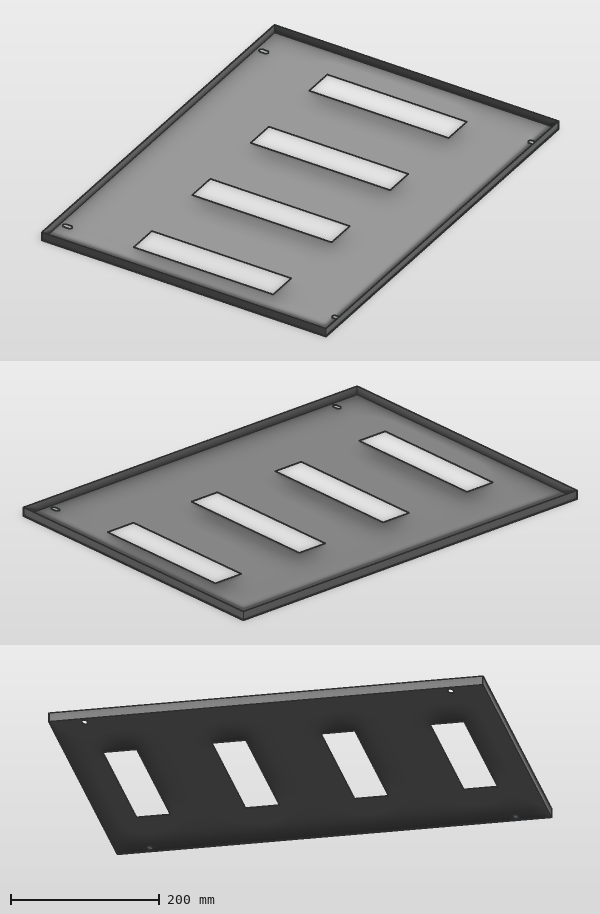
import cadquery as cq

width = 449.0
length = 596.5
height = 13.0
sheet = 1.0

window_count = 4
window_width = 220.0
window_length = 46.5
window_pitch = 150.0

slot_length = 14.5
slot_width = 7.0
slot_spacing_x = 425.0
slot_spacing_y = 502.5


def make_tray():
    """Flat sheet with an upright flange on all four sides, open at the top."""
    outside = cq.Workplane("XY").box(width, length, height, centered=(True, True, False))
    return outside.faces(">Z").shell(-sheet)


def cut_windows(body):
    return (
        body.faces("<Z").workplane(origin=(0, 0, 0))
        .rarray(6, window_pitch, 1, window_count)
        .rect(window_width, window_length)
        .cutThruAll()
    )


def cut_slots(body):
    return (
        body.faces("<Z").workplane(origin=(0, 0, 0))
        .rarray(slot_spacing_x, slot_spacing_y, 2, 2)
        .slot2D(slot_length, slot_width)
        .cutThruAll()
    )


result = cut_slots(cut_windows(make_tray()))